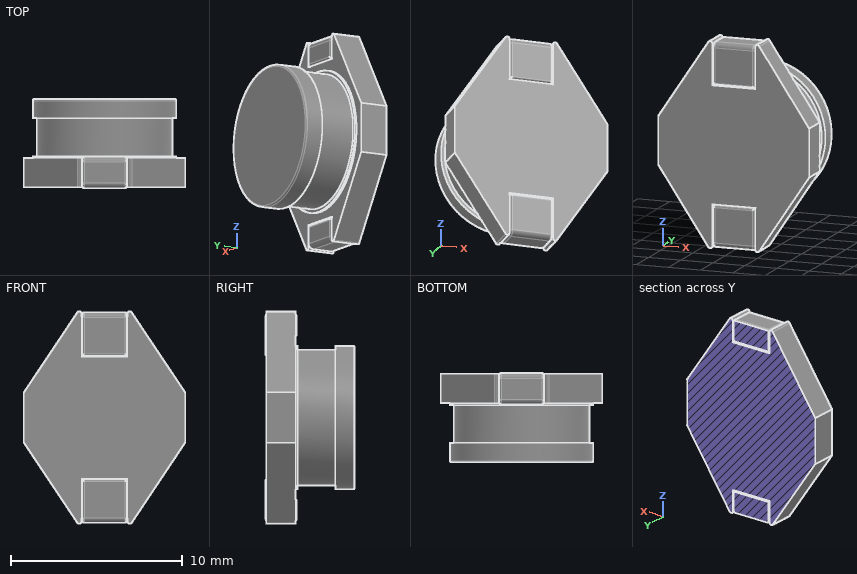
import cadquery as cq
import math

plate_half_width = 4.7
plate_half_height = 6.18
side_flat_half_height = 1.46
plate_thickness = 1.72
ear_radius = 0.14

clip_half_width = 1.29
clip_clearance = 0.05
clip_metal = 0.25
clip_end_drop = 0.05
clip_front_length = 2.54
clip_back_length = 1.39
clip_front_proud = 0.05
clip_back_proud = 0.07
clip_bend_radius = 0.31
clip_edge_radius = 0.11

flange_radius = 4.18
core_radius = 3.96
seat_thickness = 0.11
core_length = 2.2
flange_thickness = 1.13
flange_edge_radius = 0.1

plate_front = clip_front_proud
plate_back = plate_front + plate_thickness
seat_back = plate_back + seat_thickness
core_back = seat_back + core_length
clip_back = plate_back + clip_back_proud

clip_end = plate_half_height - clip_end_drop
notch_half_width = clip_half_width + clip_clearance
notch_floor = clip_end - clip_metal


def disc(radius, start, length):
    """Cylinder along +Y beginning at the given Y position."""
    return cq.Workplane("XZ", origin=(0, start, 0)).circle(radius).extrude(-length)


def ear_points():
    """Notch-side end, middle and slope-side end of the ear arc at +X, +Z."""
    center_x = notch_half_width + ear_radius
    center_z = plate_half_height - ear_radius
    run = plate_half_width - center_x
    drop = center_z - side_flat_half_height
    corner_angle = math.atan2(-drop, run)
    tangent_angle = corner_angle + math.acos(ear_radius / math.hypot(run, drop))
    inner = (notch_half_width, center_z)
    slope = (
        center_x + ear_radius * math.cos(tangent_angle),
        center_z + ear_radius * math.sin(tangent_angle),
    )
    middle_angle = (math.pi + tangent_angle) / 2
    middle = (
        center_x + ear_radius * math.cos(middle_angle),
        center_z + ear_radius * math.sin(middle_angle),
    )
    return inner, middle, slope


def make_plate():
    """Plate with round ears and a notch for the clip at each end."""
    inner, middle, slope = ear_points()
    quarter = (
        cq.Workplane("XZ", origin=(0, plate_front, 0))
        .lineTo(plate_half_width, 0)
        .lineTo(plate_half_width, side_flat_half_height)
        .lineTo(*slope)
        .threePointArc(middle, inner)
        .lineTo(notch_half_width, notch_floor)
        .lineTo(0, notch_floor)
        .close()
        .extrude(-plate_thickness)
    )
    half = quarter.union(quarter.mirror("YZ"))
    return half.union(half.mirror("XY"))


def make_clip_blank(clearance):
    """Sharp-edged C over the top of the plate, its sides and leg ends enlarged by the clearance."""
    front_end = clip_end - clip_front_length - clearance
    back_end = clip_end - clip_back_length - clearance
    return (
        cq.Workplane("YZ")
        .moveTo(0, front_end)
        .lineTo(0, clip_end)
        .lineTo(clip_back, clip_end)
        .lineTo(clip_back, back_end)
        .lineTo(clip_back - clip_metal, back_end)
        .lineTo(clip_back - clip_metal, notch_floor)
        .lineTo(clip_metal, notch_floor)
        .lineTo(clip_metal, front_end)
        .close()
        .extrude(clip_half_width + clearance, both=True)
    )


def round_clip(blank):
    """Round the two bends, then the rim of the outer surface."""
    bent = blank.faces(">Z").edges("|X").fillet(clip_bend_radius)
    rim = bent.faces("<Y").edges("|Z or <Z")
    rim = rim.add(bent.faces(">Y").edges("<Z"))
    return rim.fillet(clip_edge_radius)


def make_spool():
    """Seat disc, core and round-edged flange on a common axis."""
    seat = disc(flange_radius, plate_back, seat_thickness)
    core = disc(core_radius, seat_back, core_length)
    flange = disc(flange_radius, core_back, flange_thickness)
    flange = flange.faces(">Y").edges().fillet(flange_edge_radius)
    return seat.union(core).union(flange)


clip = round_clip(make_clip_blank(0))
recess = make_clip_blank(clip_clearance)

result = make_plate()
result = result.cut(recess).cut(recess.mirror("XY"))
result = result.union(clip).union(clip.mirror("XY"))
result = result.union(make_spool())